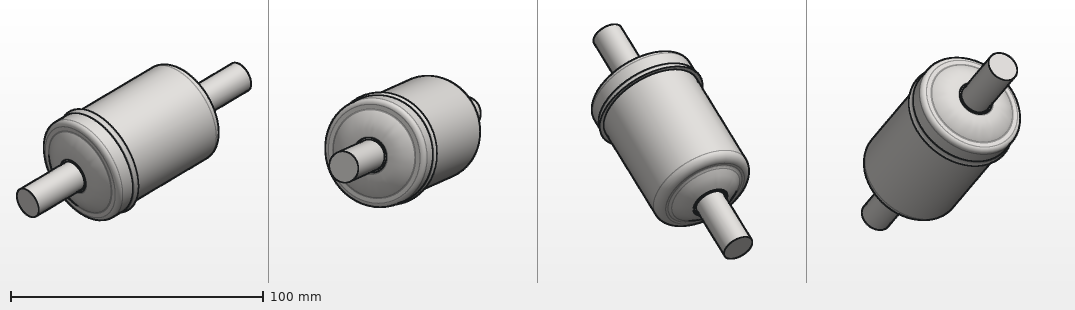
import cadquery as cq
import math


half_length = 58.5
pipe_radius = 6.3

dome_y = 33.6
dome_flat_radius = 7.6
recess_radius = 7.1
recess_depth = 0.1
rear_dome_root_radius = 15.6
cover_dome_root_radius = 17.9
rear_dome_bulge = 0.8
cover_dome_bulge = 1.2

body_radius = 21.1
shoulder_y = 28.5
shoulder_fillet = 3.6
rear_root_fillet = 1.8

cover_radius = 22.1
cover_end_y = -29.7
cover_fillet = 2.1
cover_root_fillet = 0.5
lip_radius = 22.8
lip_y = -19.4
flare_radius = 22.2
flare_end_y = -21.5
flare_bulge = 0.1
bevel_length = 0.4


def bulged_midpoint(start, end, bulge):
    """Point beside the middle of a chord, offset to the left of start-to-end."""
    dx = end[0] - start[0]
    dy = end[1] - start[1]
    chord = math.hypot(dx, dy)
    mid_x = (start[0] + end[0]) / 2
    mid_y = (start[1] + end[1]) / 2
    return (mid_x - bulge * dy / chord, mid_y + bulge * dx / chord)


def rounded_corner(corner_x, corner_y, radius, side):
    """Middle point of a convex quarter round; side is +1 at +Y and -1 at -Y."""
    inset = radius * (1 - math.sqrt(0.5))
    return (corner_x - inset, corner_y - side * inset)


def make_canister():
    cover_dome_top = (dome_flat_radius, -dome_y)
    cover_dome_root = (cover_dome_root_radius, cover_end_y)
    rear_dome_root = (rear_dome_root_radius, shoulder_y)
    rear_dome_top = (dome_flat_radius, dome_y)
    flare_end = (flare_radius, flare_end_y)
    lip_edge = (lip_radius, lip_y)
    return (
        cq.Workplane("XY")
        .moveTo(0, -dome_y)
        .lineTo(*cover_dome_top)
        .threePointArc(
            bulged_midpoint(cover_dome_top, cover_dome_root, -cover_dome_bulge),
            cover_dome_root,
        )
        .lineTo(cover_radius - cover_fillet, cover_end_y)
        .threePointArc(
            rounded_corner(cover_radius, cover_end_y, cover_fillet, -1),
            (cover_radius, cover_end_y + cover_fillet),
        )
        .lineTo(cover_radius, flare_end_y - bevel_length)
        .lineTo(*flare_end)
        .threePointArc(bulged_midpoint(flare_end, lip_edge, flare_bulge), lip_edge)
        .lineTo(body_radius, lip_y)
        .lineTo(body_radius, shoulder_y - shoulder_fillet)
        .threePointArc(
            rounded_corner(body_radius, shoulder_y, shoulder_fillet, 1),
            (body_radius - shoulder_fillet, shoulder_y),
        )
        .lineTo(*rear_dome_root)
        .threePointArc(
            bulged_midpoint(rear_dome_root, rear_dome_top, -rear_dome_bulge),
            rear_dome_top,
        )
        .lineTo(0, dome_y)
        .close()
        .revolve(360, (0, 0, 0), (0, 1, 0))
    )


def make_pipe():
    return cq.Workplane("XZ").circle(pipe_radius).extrude(half_length, both=True)


def blend_dome_root(body, root_radius, root_y, fillet_radius):
    """Round the inner corner where a dome rises from the flat ring around it."""
    margin = 0.1
    reach = root_radius + margin
    ring_edge = cq.selectors.BoxSelector(
        (-reach, root_y - margin, -reach),
        (reach, root_y + margin, reach),
        boundingbox=True,
    )
    return body.edges(ring_edge).fillet(fillet_radius)


def make_neck_recess(side):
    """Shallow disc sunk into the dome's flat top, around the pipe."""
    return (
        cq.Workplane("XZ", origin=(0, side * dome_y, 0))
        .circle(recess_radius)
        .extrude(side * recess_depth)
    )


canister = make_canister()
canister = blend_dome_root(canister, cover_dome_root_radius, cover_end_y, cover_root_fillet)
canister = blend_dome_root(canister, rear_dome_root_radius, shoulder_y, rear_root_fillet)
for side in (-1, 1):
    canister = canister.cut(make_neck_recess(side))

result = canister.union(make_pipe())